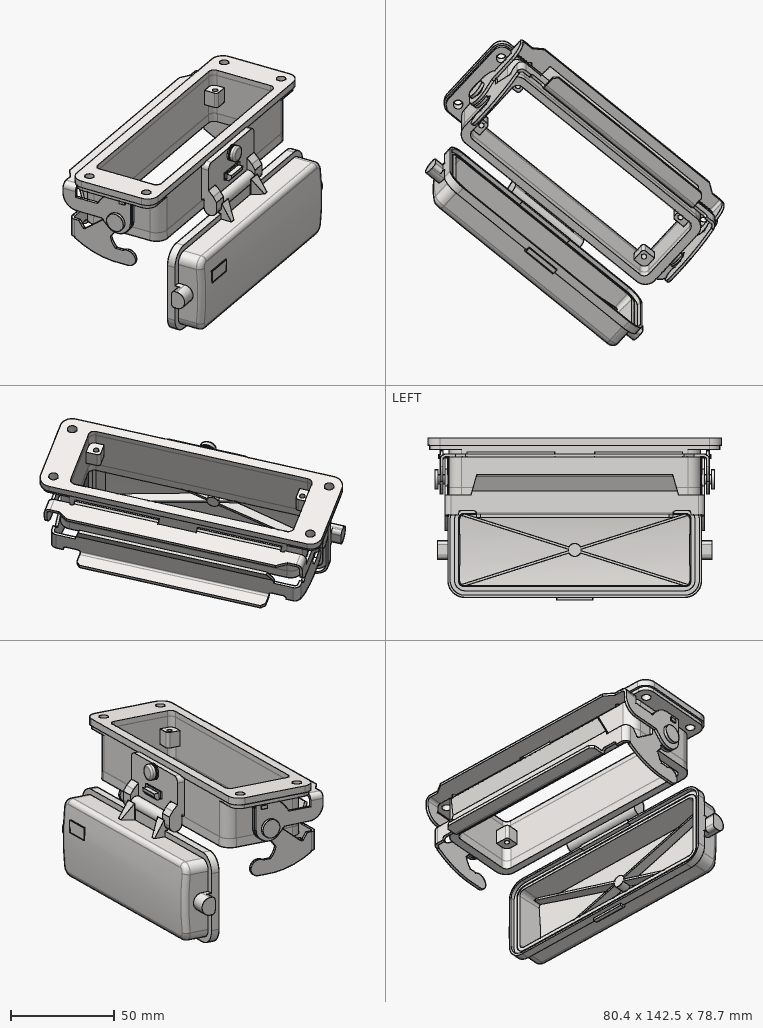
import cadquery as cq
import math


wall_overlap = 1.4

flange_width = 45.6
flange_length = 142.5
flange_thickness = 3.5
flange_step_depth = 5.7
flange_step_inset = 0.9
flange_step_width = 43.6
corner_radius = 6.0
screw_hole_diameter = 4.5
screw_hole_x = 16.0
screw_hole_y = 65.0

body_width = flange_step_width
body_length = 122.0
body_bottom = -28.8
lip_top = -24.1
lip_draft = 2
opening_width = 35.6
opening_length = 112.9
opening_radius = 2.8
opening_depth = 2.8
opening_draft = 0.5
post_size = 7.0
post_top = -8.5
post_height = 8.0
post_radius = 1.4
post_hole_inset = 4.3
post_hole_diameter = 2.5

pivot_z = -20.1
pin_radius = 2.3
pin_head_radius = 4.7
pin_head_inner = 66.3
pin_head_outer = 67.8

sheet = 1.4
bend_radius = 3.0
hub_radius = 7.1
upper_outer_y = 65.3
upper_top = -7.7
upper_back = -30.6
upper_front = -23.7
upper_lip_x = -34.0
upper_step_y = 57.7
upper_lip_y = 52.9
upper_slot_half = 9.7
upper_slot_depth = 0.9
upper_tongue_end = 52.3
upper_tongue_edge = 0.5
upper_relief_radius = 1.0
stop_tab_x_min = 1.1
stop_tab_x_max = 4.4
stop_tab_z_min = -10.0
stop_tab_z_max = -8.1
stop_tab_height = 0.7
lower_outer_y = 63.0
lower_back = -28.4
lower_top = -27.6
lower_bottom = -37.3
lower_lip_x = -36.2
lower_lip_half = 47.7
lower_lip_chamfer = 2.0
lower_wing_half = 50.3
lower_wing_top = -17.7
lower_wing_taper = 2.8
lower_notch_top = -35.2
lower_notch_outer_y = 56.3
lower_notch_radius = 1.4

bracket_half = 22.0
bracket_front = 25.8
bracket_top = -3.0
bracket_bottom = -24.1
bracket_radius = 3.0
bracket_lower_radius = 1.5
knuckle_back = 23.2
knuckle_top = -22.7
knuckle_inner_y = 15.2
hinge_x = 26.8
hinge_z = -27.2
hinge_radius = 3.5
gusset_head_x = 30.5
gusset_head_z = -25.6
gusset_foot_x = 35.9
gusset_inner_y = 11.0
gusset_outer_y = 17.1
gusset_foot_inner_y = 14.8
button_radius = 4.0
button_height = 4.0
button_z = -6.5
button_fillet = 1.0
button_groove_start = 0.7
button_groove_width = 0.5
button_groove_depth = 0.3
stop_lug_half = 5.4
stop_lug_top = -16.0
stop_lug_bottom = -19.4
stop_pad_half = 7.1
stop_pad_thickness = 0.7
stop_pad_top = -15.0
stop_pad_bottom = -18.5

cover_z = -54.3
rim_front = 25.8
rim_back = 30.0
rim_half_y = 61.5
rim_half_z = 23.1
rim_radius = 8.4
shell_half_y = 58.4
shell_half_z = 20.1
shell_radius = 5.1
shell_edge_x = 42.5
shell_crown_x = 43.9
label_x = 44.2
label_y_min = -49.7
label_y_max = -36.0
label_z_min = -49.9
label_z_max = -43.5
shell_edge_fillet = 2.8
floor_thickness = 2.1
cavity_half_y = 56.5
cavity_half_z = 17.8
cavity_draft = 2.5
recess_depth = 1.7
cavity_radius = 2.8
groove_inset_outer = 1.1
groove_inset_inner = 3.3
groove_depth = 2.1
rib_front = 36.5
rib_width = 1.1
rib_hub_radius = 3.1
lug_half_z = 4.5
lug_back = 33.3
cover_pin_x = 33.8
cover_pin_flat_x = 30.9
cover_pin_end_y = 66.5
cover_pin_corner = 2.0
cover_bottom = -78.7
cover_tab_half = 8.8
cover_tab_front = 28.1
cover_tab_back = 31.6


def block(x0, x1, y0, y1, z0, z1):
    return cq.Workplane("XY").box(x1 - x0, y1 - y0, z1 - z0, centered=False).translate((x0, y0, z0))


def along_y(profile, y0, y1):
    """Extrude a closed XZ outline from y0 to y1."""
    return profile.extrude(-(y1 - y0)).translate((0, y0, 0))


def polygon_along_y(points, y0, y1):
    return along_y(cq.Workplane("XZ").polyline(points).close(), y0, y1)


def disc_along_y(x, z, radius, y0, y1):
    return along_y(cq.Workplane("XZ").center(x, z).circle(radius), y0, y1)


def rounded_block_x(x0, x1, half_y, half_z, radius, z_middle):
    """Block along X with its four X edges rounded."""
    solid = block(x0, x1, -half_y, half_y, z_middle - half_z, z_middle + half_z)
    return solid.edges("|X").fillet(radius)


def rounded_block_z(width, length, z0, z1, radius):
    solid = block(-width / 2, width / 2, -length / 2, length / 2, z0, z1)
    return solid.edges("|Z").fillet(radius)


def drafted_block_z(width, length, z_top, z_bottom, radius, draft):
    """Rounded block that widens downward by a draft angle in degrees."""
    outline = cq.Sketch().rect(width, length).vertices().fillet(radius)
    solid = cq.Workplane("XY").placeSketch(outline).extrude(z_bottom - z_top, taper=-draft)
    return solid.translate((0, 0, z_top))


def both_ends(solid):
    return solid.union(solid.mirror("XZ"))


def make_corner_post(side_x, side_y):
    x_wall = side_x * opening_width / 2
    y_wall = side_y * opening_length / 2
    size = post_size + wall_overlap
    post = cq.Workplane("XY").box(size, size, post_height, centered=(True, True, False))
    post = post.translate((
        x_wall - side_x * (post_size - wall_overlap) / 2,
        y_wall - side_y * (post_size - wall_overlap) / 2,
        post_top - post_height,
    ))
    inner_face = "<X" if side_x > 0 else ">X"
    inner_edge = "<Y" if side_y > 0 else ">Y"
    post = post.faces(inner_face).edges(inner_edge).fillet(post_radius)
    hole = cq.Workplane("XY").circle(post_hole_diameter / 2).extrude(post_height)
    return post.cut(hole.translate((
        x_wall - side_x * post_hole_inset,
        y_wall - side_y * post_hole_inset,
        post_top - post_height,
    )))


def make_housing():
    housing = rounded_block_z(flange_width, flange_length, -flange_thickness, 0, corner_radius)
    housing = housing.union(rounded_block_z(
        flange_step_width, flange_length - 2 * flange_step_inset,
        -flange_step_depth, -flange_thickness, corner_radius - flange_step_inset))
    housing = housing.union(rounded_block_z(body_width, body_length, lip_top, 0, corner_radius))
    housing = housing.union(drafted_block_z(body_width, body_length, lip_top, body_bottom,
                                            corner_radius, lip_draft))

    chamber_depth = -lip_top - opening_depth
    growth = 2 * chamber_depth * math.tan(math.radians(opening_draft))
    housing = housing.cut(rounded_block_z(opening_width, opening_length, -opening_depth, 0, opening_radius))
    housing = housing.cut(drafted_block_z(opening_width, opening_length, -opening_depth, lip_top,
                                          opening_radius, opening_draft))
    housing = housing.cut(drafted_block_z(opening_width + growth, opening_length + growth,
                                          lip_top, body_bottom, opening_radius + growth / 2, lip_draft))
    holes = (
        cq.Workplane("XY")
        .rect(2 * screw_hole_x, 2 * screw_hole_y, forConstruction=True)
        .vertices()
        .circle(screw_hole_diameter / 2)
        .extrude(-flange_step_depth)
    )
    housing = housing.cut(holes)
    for side_x in (-1, 1):
        for side_y in (-1, 1):
            housing = housing.union(make_corner_post(side_x, side_y))
    return housing


def make_pivot_pin():
    pin = disc_along_y(0, pivot_z, pin_radius, body_length / 2 - wall_overlap, pin_head_outer)
    return pin.union(disc_along_y(0, pivot_z, pin_head_radius, pin_head_inner, pin_head_outer))


def make_upper_side_plate():
    arm_top = -13.8
    arm_bottom = -21.1
    shoulder_x = -11.4
    crown_x = -2.5
    crown_z = -6.1
    bend_end = upper_top - bend_radius
    outline = (
        cq.Workplane("XZ")
        .moveTo(upper_back, bend_end)
        .lineTo(upper_back, arm_top)
        .threePointArc((-28.2, -19.0), (upper_front, arm_bottom))
        .lineTo(-9.1, arm_bottom)
        .lineTo(-5.5, -24.7)
        .threePointArc((0, pivot_z - hub_radius), (hub_radius, pivot_z))
        .lineTo(hub_radius, crown_z)
        .lineTo(crown_x, crown_z)
        .threePointArc((-7.4, -8.8), (shoulder_x, arm_top))
        .lineTo(upper_front, arm_top)
        .lineTo(upper_front, bend_end)
        .close()
    )
    plate = along_y(outline, upper_outer_y - sheet, upper_outer_y)
    return plate.union(block(stop_tab_x_min, stop_tab_x_max, upper_outer_y, upper_outer_y + stop_tab_height,
                             stop_tab_z_min, stop_tab_z_max))


def make_upper_lever():
    outline = [
        (upper_front, upper_step_y),
        (upper_back, upper_step_y),
        (upper_lip_x, upper_lip_y),
        (upper_lip_x, -upper_lip_y),
        (upper_back, -upper_step_y),
        (upper_front, -upper_step_y),
    ]
    web = cq.Workplane("XY").polyline(outline).close().extrude(-sheet).translate((0, 0, upper_top))
    slot_back = upper_front - upper_slot_depth
    web = web.cut(block(slot_back, upper_front, -upper_slot_half, upper_slot_half,
                        upper_top - sheet, upper_top))
    for side in (-1, 1):
        relief_y = side * (upper_tongue_end + upper_relief_radius)
        relief = cq.Workplane("XY").circle(upper_relief_radius).extrude(-sheet)
        web = web.cut(relief.translate((upper_front, relief_y, upper_top)))

    inner_y = upper_outer_y - sheet
    bend_end = upper_top - bend_radius
    corner_low = bend_end - sheet
    corner = block(upper_back, upper_front, upper_step_y, upper_outer_y, corner_low, upper_top)
    corner = corner.edges(">Y and >Z").fillet(bend_radius)
    inside = block(upper_back, upper_front, upper_step_y, inner_y, corner_low, upper_top - sheet)
    corner = corner.cut(inside.edges(">Y and >Z").fillet(bend_radius - sheet))

    wall_x = -body_width / 2
    tongue_top = -6.8
    tongue_fold_x = -22.7
    tongue = polygon_along_y([
        (upper_front, upper_top - sheet),
        (wall_x, tongue_top - upper_tongue_edge),
        (wall_x, tongue_top),
        (tongue_fold_x, tongue_top),
        (upper_front, upper_top),
    ], upper_slot_half, upper_tongue_end)

    ends = make_upper_side_plate().union(corner).union(tongue)
    return web.union(both_ends(ends))


def make_lower_side_plate():
    eye_back = -9.3
    eye_front = 7.0
    eye_top = -9.7
    hook_x = 4.5
    hook_z = -40.8
    hook_radius = 4.1
    bend_end_x = lower_back + bend_radius
    outline = (
        cq.Workplane("XZ")
        .moveTo(bend_end_x, lower_top)
        .lineTo(-23.1, lower_top)
        .lineTo(-20.5, -31.4)
        .lineTo(-19.7, -31.4)
        .lineTo(eye_back, -23.2)
        .lineTo(eye_back, -15.0)
        .threePointArc((-5.7, -10.8), (0, eye_top))
        .lineTo(eye_front, eye_top)
        .lineTo(eye_front, pivot_z)
        .threePointArc((4.3, -25.6), (-3.0, -26.5))
        .lineTo(-3.0, -28.5)
        .lineTo(-5.4, -31.6)
        .threePointArc((-4.1, -35.0), (-2.4, -37.3))
        .lineTo(1.7, -37.3)
        .threePointArc((hook_x, hook_z + hook_radius), (hook_x + hook_radius, hook_z))
        .threePointArc((hook_x + hook_radius * math.sqrt(0.5), hook_z - hook_radius * math.sqrt(0.5)),
                       (hook_x, hook_z - hook_radius))
        .lineTo(-4.3, hook_z - hook_radius)
        .threePointArc((-15.5, -42.6), (bend_end_x, -37.9))
        .close()
    )
    return along_y(outline, lower_outer_y - sheet, lower_outer_y)


def make_lower_lever():
    inner_x = lower_back + sheet
    web_end_x = inner_x + bend_radius
    web = block(lower_back, web_end_x, -lower_outer_y, lower_outer_y, lower_bottom, lower_top)
    web = web.edges("|Z and <X").fillet(bend_radius)
    inner_y = lower_outer_y - sheet
    inside = block(inner_x, web_end_x, -inner_y, inner_y, lower_bottom, lower_top)
    web = web.cut(inside.edges("|Z and <X").fillet(bend_radius - sheet))

    wing = polygon_along_y([
        (lower_back, lower_top),
        (lower_back, -25.6),
        (-32.0, lower_wing_top - 0.7),
        (-30.8, lower_wing_top),
        (inner_x, -25.4),
        (inner_x, lower_top),
    ], -lower_wing_half, lower_wing_half)
    top_half = lower_wing_half - lower_wing_taper
    wing_end = (
        cq.Workplane("YZ")
        .polyline([
            (-lower_wing_half, lower_top),
            (lower_wing_half, lower_top),
            (top_half, lower_wing_top),
            (-top_half, lower_wing_top),
        ])
        .close()
        .extrude(lower_lip_x)
    )
    wing = wing.intersect(wing_end)

    lip_upper = -36.9
    lip_under = -38.6
    lip_bend = 1.1
    lip_bend_x = lower_back - lip_bend
    lip_outline = (
        cq.Workplane("XZ")
        .moveTo(lower_lip_x, lip_under)
        .lineTo(lip_bend_x, lip_under)
        .threePointArc((inner_x - 0.7, lip_under + 0.7), (inner_x, lip_upper + lip_bend))
        .lineTo(lower_back, lip_upper + lip_bend)
        .threePointArc((lower_back - 0.3, lip_upper + 0.3), (lip_bend_x, lip_upper))
        .lineTo(lower_lip_x, lip_upper)
        .close()
    )
    lip = along_y(lip_outline, -lower_lip_half, lower_lip_half)
    lip = lip.edges("|Z and <X").chamfer(lower_lip_chamfer)

    relief = block(lower_back, inner_x, lower_lip_half, lower_notch_outer_y, lower_bottom, lower_notch_top)
    web = web.cut(both_ends(relief.edges("|X and >Z").fillet(lower_notch_radius)))
    return web.union(wing).union(lip).union(both_ends(make_lower_side_plate()))


def make_hinge():
    wall_x = body_width / 2 - wall_overlap
    plate = block(wall_x, bracket_front, -bracket_half, bracket_half, bracket_bottom, bracket_top)
    plate = plate.edges("|X and >Z").fillet(bracket_radius)
    plate = plate.edges("|X and <Z").fillet(bracket_lower_radius)
    cheek = (
        cq.Workplane("XZ")
        .moveTo(knuckle_back, knuckle_top)
        .lineTo(bracket_front, -17.2)
        .lineTo(28.5, -20.0)
        .lineTo(hinge_x + hinge_radius, knuckle_top)
        .lineTo(hinge_x + hinge_radius, hinge_z)
        .threePointArc((hinge_x, hinge_z - hinge_radius), (hinge_x - hinge_radius, hinge_z))
        .close()
    )
    cheeks = both_ends(along_y(cheek, knuckle_inner_y, bracket_half))

    barrel = disc_along_y(hinge_x, hinge_z, hinge_radius, -knuckle_inner_y, knuckle_inner_y)
    arm = block(rim_front, rim_back, -knuckle_inner_y, knuckle_inner_y,
                cover_z + rim_half_z - wall_overlap, hinge_z)

    button = cq.Workplane("YZ").circle(button_radius).extrude(button_height)
    button = button.faces(">X").edges().fillet(button_fillet)
    button_groove = (
        cq.Workplane("YZ", origin=(button_groove_start, 0, 0))
        .circle(button_radius)
        .circle(button_radius - button_groove_depth)
        .extrude(button_groove_width)
    )
    button = button.cut(button_groove).translate((bracket_front, 0, button_z))
    lug = polygon_along_y([
        (bracket_front, stop_lug_top),
        (29.2, stop_lug_top),
        (28.9, -17.8),
        (27.6, stop_lug_bottom),
        (bracket_front, stop_lug_bottom),
    ], -stop_lug_half, stop_lug_half)
    pad = block(bracket_front, bracket_front + stop_pad_thickness, -stop_pad_half, stop_pad_half,
                stop_pad_bottom, stop_pad_top)
    hinge = plate
    for piece in (cheeks, barrel, arm, button, lug, pad):
        hinge = hinge.union(piece)
    return hinge


def make_gusset():
    """Web from the hinge barrel down to the top of the cover."""
    root_x = rim_back - wall_overlap
    foot_z = cover_z + shell_half_z
    root_z = foot_z - wall_overlap
    side = polygon_along_y([
        (root_x, hinge_z),
        (gusset_head_x, gusset_head_z),
        (gusset_foot_x, foot_z),
        (gusset_foot_x, root_z),
        (root_x, root_z),
    ], gusset_inner_y, gusset_outer_y)
    plan = (
        cq.Workplane("XY")
        .polyline([
            (root_x, gusset_outer_y),
            (gusset_foot_x, gusset_outer_y),
            (gusset_foot_x, gusset_foot_inner_y),
            (gusset_head_x, gusset_inner_y),
            (root_x, gusset_inner_y),
        ])
        .close()
        .extrude(2 * cover_z)
    )
    return side.intersect(plan)


def crowned_profile(x_front, x_edge, x_crown):
    """XZ outline with a straight front and a gently crowned back."""
    low = cover_z - shell_half_z
    high = cover_z + shell_half_z
    return (
        cq.Workplane("XZ")
        .moveTo(x_front, low)
        .lineTo(x_edge, low)
        .threePointArc((x_crown, cover_z), (x_edge, high))
        .lineTo(x_front, high)
        .close()
    )


def make_cover_ribs():
    """Diagonal ribs crossing the cavity, with a round hub in the middle."""
    length = 2 * math.hypot(cavity_half_y, cavity_half_z)
    angle = math.degrees(math.atan2(cavity_half_z, cavity_half_y))
    depth = shell_crown_x - rib_front
    ribs = cq.Workplane("YZ").circle(rib_hub_radius).extrude(depth)
    for turn in (-angle, angle):
        ribs = ribs.union(cq.Workplane("YZ").rect(length, rib_width).extrude(depth)
                          .rotate((0, 0, 0), (1, 0, 0), turn))
    return ribs.translate((rib_front, 0, cover_z))


def rim_inset_block(inset, depth):
    """Block as deep as given, following the rim outline at an inset."""
    return rounded_block_x(rim_front, rim_front + depth, rim_half_y - inset, rim_half_z - inset,
                           rim_radius - inset, cover_z)


def make_cover():
    outer = rounded_block_x(rim_front, shell_crown_x, shell_half_y, shell_half_z, shell_radius, cover_z)
    outer = outer.intersect(along_y(crowned_profile(rim_front, shell_edge_x, shell_crown_x),
                                    -shell_half_y, shell_half_y))
    outer = outer.faces(">X").edges().fillet(shell_edge_fillet)
    rim = rounded_block_x(rim_front, rim_back, rim_half_y, rim_half_z, rim_radius, cover_z)
    cavity_outline = cq.Sketch().rect(2 * cavity_half_y, 2 * cavity_half_z).vertices().fillet(cavity_radius)
    cavity_reach = shell_crown_x - rim_front
    cavity = cq.Workplane("YZ").placeSketch(cavity_outline).extrude(cavity_reach, taper=cavity_draft)
    cavity = cavity.translate((rim_front, 0, cover_z))
    cavity = cavity.intersect(along_y(
        crowned_profile(rim_front, shell_edge_x - floor_thickness, shell_crown_x - floor_thickness),
        -shell_half_y, shell_half_y))
    ribs = make_cover_ribs().intersect(outer)

    recess = rim_inset_block(groove_inset_outer, recess_depth)
    groove = rim_inset_block(groove_inset_outer, groove_depth)
    groove = groove.cut(rim_inset_block(groove_inset_inner, groove_depth))
    cover = outer.union(rim).cut(recess).cut(groove).cut(cavity).union(ribs)

    label = block(shell_edge_x, label_x, label_y_min, label_y_max, label_z_min, label_z_max)
    cover = cover.union(label)

    pin_root = shell_half_y - wall_overlap
    pin = block(cover_pin_flat_x, cover_pin_x, pin_root, cover_pin_end_y,
                cover_z - lug_half_z, cover_z + lug_half_z)
    pin = pin.edges("|Y and <X").fillet(cover_pin_corner)
    round_side = disc_along_y(cover_pin_x, cover_z, lug_half_z, pin_root, cover_pin_end_y)
    round_side = round_side.intersect(block(cover_pin_x, shell_crown_x, pin_root, cover_pin_end_y,
                                            cover_z - lug_half_z, cover_z + lug_half_z))
    pin = pin.union(round_side)
    lug = block(rim_back, lug_back, pin_root, rim_half_y,
                cover_z - lug_half_z, cover_z + lug_half_z)
    cover = cover.union(both_ends(pin.union(lug)))

    shell_bottom = cover_z - shell_half_z
    tab = polygon_along_y([
        (cover_tab_front, cover_bottom),
        (30.4, cover_bottom),
        (31.0, -77.7),
        (cover_tab_back, shell_bottom),
        (cover_tab_front, shell_bottom),
    ], -cover_tab_half, cover_tab_half)
    return cover.union(tab).union(both_ends(make_gusset()))


result = make_housing().union(both_ends(make_pivot_pin()))
result = result.union(make_upper_lever()).union(make_lower_lever())
result = result.union(make_hinge()).union(make_cover())